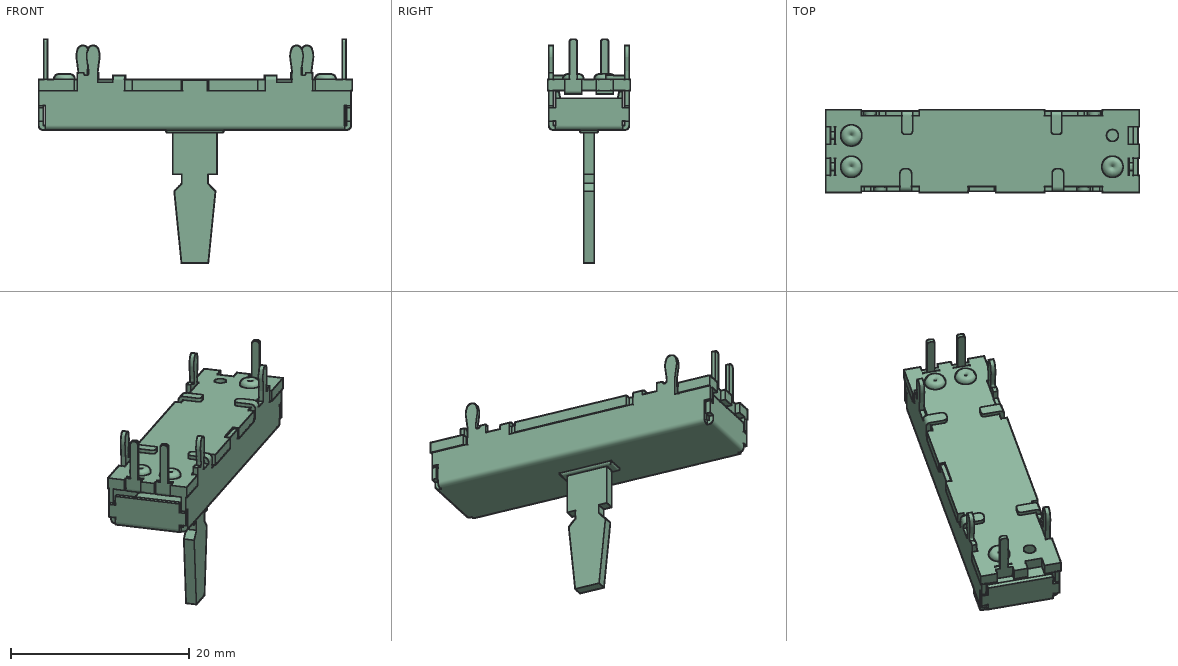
import cadquery as cq


CAN_LENGTH = 35.05
CAN_WIDTH = 9.05
CAN_BOTTOM = -5.7
SHEET = 0.53
CAN_END = CAN_LENGTH / 2
CAN_SIDE = CAN_WIDTH / 2
SIDE_INSIDE = CAN_SIDE - SHEET
FLOOR_TOP = CAN_BOTTOM + SHEET
FLOOR_HALF_LENGTH = 16.8
WALL_OVERHANG_BOTTOM = -2.95

FLAP_HALF_WIDTH = 3.75
FLAP_TOP = -2.1
EAR_TOP = -3.17
EAR_BOTTOM = -4.68

BOARD_LENGTH = 35.2
BOARD_THICKNESS = 1.25
BOARD_BOTTOM = -BOARD_THICKNESS
BOARD_WIDTH = 9.3
BOARD_LEFT = -CAN_END
BOARD_RIGHT = BOARD_LEFT + BOARD_LENGTH
SIDE_NOTCH_INNER = 7.05
SIDE_NOTCH_OUTER = 13.5
SIDE_NOTCH_FLOOR = 3.95
CENTRE_NOTCH_HALF = 1.55
END_NOTCH_FLOOR = 16.45
ROW_Y = 1.75

CENTRE_TAB_HALF = 1.4
CENTRE_TAB_TOP = -0.1

FRONT_PIN_X = 11.4
BACK_PIN_X = 12.55
PIN_HALF_FOOT = 0.53
PIN_HALF_WIDEST = 0.75
PIN_HALF_SHOULDER = 0.6
PIN_FOOT_TOP = 0.9
PIN_WIDEST_Z = 2.5
PIN_HALF_BULGE = 0.7
PIN_BULGE_Z = 2.95
PIN_SHOULDER_Z = 3.35
PIN_TOP = 3.8
HOOK_WIDTH = 0.75
HOOK_TOP = 0.7
RELIEF_WIDTH = 0.53
RELIEF_BOTTOM = 0.42
SHELF_TOP = -0.3

CLINCH_HEIGHT = 0.42
FRONT_CLINCH_INNER = 7.9
FRONT_CLINCH_OUTER = 9.2
FRONT_CLINCH_TIP = 1.97
FRONT_CLINCH_TIP_RADIUS = 0.53
BACK_CLINCH_INNER = 7.78
BACK_CLINCH_OUTER = 8.98
BACK_CLINCH_TIP = 1.9
BACK_CLINCH_TIP_RADIUS = 0.3

TERMINAL_THICKNESS = 0.45
TERMINAL_WIDTH = 1.95
TERMINAL_PIN_WIDTH = 0.88
TERMINAL_TOP = 4.5
TERMINAL_TIP_RADIUS = 0.3
TERMINAL_CLEARANCE = 0.07
TERMINAL_INSIDE = END_NOTCH_FLOOR + TERMINAL_CLEARANCE
TERMINAL_OUTSIDE = TERMINAL_INSIDE + TERMINAL_THICKNESS
FOOT_THICKNESS = 0.4
FOOT_BOTTOM = BOARD_BOTTOM - FOOT_THICKNESS
RIVET_X = 14.65
RIVET_RADIUS = 1.2
RIVET_CROWN = RIVET_RADIUS / 2
RIVET_ROOT = 0.35
RIVET_HOLE_RADIUS = 0.67
FOOT_INNER_END = RIVET_X - RIVET_RADIUS
TERMINAL_SITES = [(-1, ROW_Y), (-1, -ROW_Y), (1, -ROW_Y)]
OPEN_HOLE_SITE = (RIVET_X, ROW_Y)

COLLAR_LENGTH = 6.55
COLLAR_WIDTH = 2.1
COLLAR_DROP = 0.3
COLLAR_EDGE_RADIUS = 0.28
COLLAR_BOTTOM = CAN_BOTTOM - COLLAR_DROP
CARRIAGE_TOP = -1.37
CARRIAGE_FLOOR = -3.87
CARRIAGE_HALF_WIDTH = FLAP_HALF_WIDTH
TROUGH_HALF_TOP = 3.38
TROUGH_HALF_BOTTOM = 2.8
LEVER_THICKNESS = 1.23
STEM_HALF = 2.5
STEM_BOTTOM = -10.65
NECK_HALF = 1.48
NECK_BOTTOM = -11.7
BLADE_HALF_TOP = 2.32
BLADE_TOP = -12.55
BLADE_HALF_BOTTOM = 1.5
LEVER_BOTTOM = -20.63


def block(x0, x1, y0, y1, z0, z1):
    """Box between the given coordinates, in either order along each axis."""
    size = (abs(x1 - x0), abs(y1 - y0), abs(z1 - z0))
    return cq.Workplane("XY").box(*size).translate(((x0 + x1) / 2, (y0 + y1) / 2, (z0 + z1) / 2))


def make_tray():
    """Floor with two side walls, then an end flap with ears at each end."""
    tray = (
        block(-FLOOR_HALF_LENGTH, FLOOR_HALF_LENGTH, -CAN_SIDE, CAN_SIDE, CAN_BOTTOM, BOARD_BOTTOM)
        .edges("|X and <Z").fillet(SHEET)
    )
    tray = tray.cut(block(-CAN_END, CAN_END, -SIDE_INSIDE, SIDE_INSIDE, FLOOR_TOP, BOARD_BOTTOM))
    for side in (-1, 1):
        tray = tray.union(
            block(-CAN_END, CAN_END, side * SIDE_INSIDE, side * CAN_SIDE, WALL_OVERHANG_BOTTOM, BOARD_BOTTOM)
        )
    for end in (-1, 1):
        tray = tray.union(make_end_flap(end))
    return tray


def make_end_flap(end):
    """Flap folded up from the floor, wider between the ear heights."""
    inside = CAN_END - SHEET
    flap = (
        block(FLOOR_HALF_LENGTH, CAN_END, -FLAP_HALF_WIDTH, FLAP_HALF_WIDTH, CAN_BOTTOM, FLAP_TOP)
        .edges(">X and <Z").fillet(SHEET)
        .cut(block(FLOOR_HALF_LENGTH, inside, -CAN_SIDE, CAN_SIDE, FLOOR_TOP, FLAP_TOP))
        .union(block(inside, CAN_END, -CAN_SIDE, CAN_SIDE, EAR_BOTTOM, EAR_TOP))
    )
    return flap if end > 0 else flap.mirror("YZ")


def make_lug():
    """Mounting pin with its relief and hook, centred on the pin, with the hook toward +X.

    The lug continues the sheet of the back wall upward.
    """
    hook_inner = PIN_HALF_FOOT + RELIEF_WIDTH
    hook_outer = hook_inner + HOOK_WIDTH
    relief_radius = RELIEF_WIDTH / 2
    relief_centre_z = RELIEF_BOTTOM + relief_radius
    lug = (
        cq.Workplane("XZ")
        .moveTo(-PIN_HALF_FOOT, BOARD_BOTTOM)
        .lineTo(-PIN_HALF_FOOT, PIN_FOOT_TOP)
        .lineTo(-PIN_HALF_WIDEST, PIN_WIDEST_Z)
        .threePointArc((-PIN_HALF_BULGE, PIN_BULGE_Z), (-PIN_HALF_SHOULDER, PIN_SHOULDER_Z))
        .threePointArc((0, PIN_TOP), (PIN_HALF_SHOULDER, PIN_SHOULDER_Z))
        .threePointArc((PIN_HALF_BULGE, PIN_BULGE_Z), (PIN_HALF_WIDEST, PIN_WIDEST_Z))
        .lineTo(PIN_HALF_FOOT, PIN_FOOT_TOP)
        .lineTo(PIN_HALF_FOOT, relief_centre_z)
        .threePointArc((PIN_HALF_FOOT + relief_radius, RELIEF_BOTTOM), (hook_inner, relief_centre_z))
        .lineTo(hook_inner, HOOK_TOP)
        .lineTo(hook_outer, HOOK_TOP)
        .lineTo(hook_outer, BOARD_BOTTOM)
        .close()
        .extrude(-SHEET)
    )
    return lug.translate((0, SIDE_INSIDE, 0))


def make_clinch(inner, outer, tip, tip_radius):
    """Tab at +X that rises from the back wall and is folded over the top of the board."""
    riser = block(inner, outer, SIDE_INSIDE, CAN_SIDE, BOARD_BOTTOM, 0)
    fold = (
        block(inner, outer, tip, CAN_SIDE, 0, CLINCH_HEIGHT)
        .edges("|Z and <Y").fillet(tip_radius)
    )
    return riser.union(fold).edges("|X and >Y and >Z").fillet(SHEET)


def make_back_wall_tabs():
    """Clinch tab, shelf and mounting pin at +X on the back wall, with the hook inward."""
    lug = make_lug().mirror("YZ").translate((BACK_PIN_X, 0, 0))
    clinch = make_clinch(BACK_CLINCH_INNER, BACK_CLINCH_OUTER, BACK_CLINCH_TIP, BACK_CLINCH_TIP_RADIUS)
    shelf = block(BACK_CLINCH_INNER, BACK_PIN_X, SIDE_INSIDE, CAN_SIDE, BOARD_BOTTOM, SHELF_TOP)
    return lug.union(clinch).union(shelf)


def make_front_wall_tabs():
    """Clinch tab, shelf and mounting pin at +X on the front wall, with the hook outward."""
    lug = make_lug().translate((FRONT_PIN_X, 0, 0))
    clinch = make_clinch(FRONT_CLINCH_INNER, FRONT_CLINCH_OUTER, FRONT_CLINCH_TIP, FRONT_CLINCH_TIP_RADIUS)
    shelf = block(FRONT_CLINCH_INNER, FRONT_PIN_X, SIDE_INSIDE, CAN_SIDE, BOARD_BOTTOM, SHELF_TOP)
    return lug.union(clinch).union(shelf).mirror("XZ")


def make_board():
    """Flat board with notches for the can tabs and the terminals, and one open rivet hole."""
    edge = BOARD_WIDTH / 2
    board = block(BOARD_LEFT, BOARD_RIGHT, -edge, edge, BOARD_BOTTOM, 0)
    board = board.cut(
        block(-CENTRE_NOTCH_HALF, CENTRE_NOTCH_HALF, -edge, -SIDE_NOTCH_FLOOR, BOARD_BOTTOM, 0)
    )
    for end in (-1, 1):
        for side in (-1, 1):
            board = board.cut(
                block(
                    end * SIDE_NOTCH_INNER, end * SIDE_NOTCH_OUTER,
                    side * SIDE_NOTCH_FLOOR, side * edge,
                    BOARD_BOTTOM, 0,
                )
            )
            board = board.cut(
                block(
                    end * END_NOTCH_FLOOR, end * BOARD_RIGHT,
                    side * ROW_Y - TERMINAL_WIDTH / 2, side * ROW_Y + TERMINAL_WIDTH / 2,
                    BOARD_BOTTOM, 0,
                )
            )
    hole = cq.Workplane("XY").center(*OPEN_HOLE_SITE).circle(RIVET_HOLE_RADIUS).extrude(BOARD_BOTTOM)
    return board.cut(hole)


def make_terminal():
    """Terminal at +X: upright plate and pin, with a foot bent under the board."""
    half = TERMINAL_WIDTH / 2
    pin_half = TERMINAL_PIN_WIDTH / 2
    plate = block(TERMINAL_INSIDE, TERMINAL_OUTSIDE, -half, half, FOOT_BOTTOM, 0)
    foot = block(FOOT_INNER_END, TERMINAL_OUTSIDE, -half, half, FOOT_BOTTOM, BOARD_BOTTOM)
    pin = (
        block(TERMINAL_INSIDE, TERMINAL_OUTSIDE, -pin_half, pin_half, 0, TERMINAL_TOP)
        .edges("|X and >Z").fillet(TERMINAL_TIP_RADIUS)
    )
    return plate.union(foot).edges("|Y and >X and <Z").fillet(FOOT_THICKNESS).union(pin)


def make_rivet():
    """Ring-shaped rivet head with a dimple that reaches the board at its centre."""
    return (
        cq.Workplane("XZ")
        .moveTo(0, 0)
        .threePointArc((RIVET_CROWN, RIVET_CROWN), (RIVET_RADIUS, 0))
        .lineTo(RIVET_RADIUS, -RIVET_ROOT)
        .lineTo(0, -RIVET_ROOT)
        .close()
        .revolve(360, (0, 0, 0), (0, 1, 0))
    )


def make_housing():
    """Can, board, terminals and rivets, joined into one body."""
    housing = make_tray().union(make_board())
    centre_tab = block(
        -CENTRE_TAB_HALF, CENTRE_TAB_HALF, -CAN_SIDE, -SIDE_INSIDE, BOARD_BOTTOM, CENTRE_TAB_TOP
    )
    housing = housing.union(centre_tab)
    for tabs in (make_front_wall_tabs(), make_back_wall_tabs()):
        housing = housing.union(tabs).union(tabs.mirror("YZ"))
    for end, y in TERMINAL_SITES:
        terminal = make_terminal() if end > 0 else make_terminal().mirror("YZ")
        housing = housing.union(terminal.translate((0, y, 0)))
        housing = housing.union(make_rivet().translate((end * RIVET_X, y, 0)))
    slot = block(
        -COLLAR_LENGTH / 2, COLLAR_LENGTH / 2, -COLLAR_WIDTH / 2, COLLAR_WIDTH / 2, CAN_BOTTOM, FLOOR_TOP
    )
    return housing.cut(slot)


def make_slider():
    """Carriage, collar and lever as one body that moves in the can."""
    carriage = (
        cq.Workplane("YZ")
        .polyline([
            (-CARRIAGE_HALF_WIDTH, FLOOR_TOP),
            (-CARRIAGE_HALF_WIDTH, CARRIAGE_TOP),
            (-TROUGH_HALF_TOP, CARRIAGE_TOP),
            (-TROUGH_HALF_BOTTOM, CARRIAGE_FLOOR),
            (TROUGH_HALF_BOTTOM, CARRIAGE_FLOOR),
            (TROUGH_HALF_TOP, CARRIAGE_TOP),
            (CARRIAGE_HALF_WIDTH, CARRIAGE_TOP),
            (CARRIAGE_HALF_WIDTH, FLOOR_TOP),
        ])
        .close()
        .extrude(COLLAR_LENGTH / 2, both=True)
    )
    collar = (
        block(
            -COLLAR_LENGTH / 2, COLLAR_LENGTH / 2, -COLLAR_WIDTH / 2, COLLAR_WIDTH / 2,
            COLLAR_BOTTOM, FLOOR_TOP,
        )
        .faces("<Z").edges().fillet(COLLAR_EDGE_RADIUS)
    )
    lever = (
        cq.Workplane("XZ")
        .polyline([
            (-STEM_HALF, COLLAR_BOTTOM),
            (STEM_HALF, COLLAR_BOTTOM),
            (STEM_HALF, STEM_BOTTOM),
            (NECK_HALF, STEM_BOTTOM),
            (NECK_HALF, NECK_BOTTOM),
            (BLADE_HALF_TOP, BLADE_TOP),
            (BLADE_HALF_BOTTOM, LEVER_BOTTOM),
            (-BLADE_HALF_BOTTOM, LEVER_BOTTOM),
            (-BLADE_HALF_TOP, BLADE_TOP),
            (-NECK_HALF, NECK_BOTTOM),
            (-NECK_HALF, STEM_BOTTOM),
            (-STEM_HALF, STEM_BOTTOM),
        ])
        .close()
        .extrude(LEVER_THICKNESS / 2, both=True)
    )
    return carriage.union(collar).union(lever)


housing = make_housing()
slider = make_slider()

result = cq.Compound.makeCompound([housing.solids().val(), slider.solids().val()])